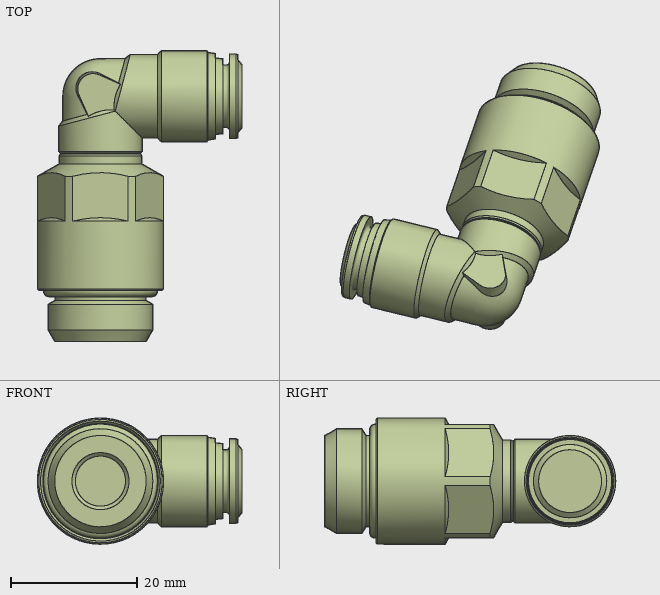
import cadquery as cq
import math


core_radius = 6.0
collar_radius = 6.65
leg_length = 8.7
collar_tilt = 15.0
collar_top = -2.3
collar_chamfer = collar_radius - core_radius

pad_rise = 0.05
pad_height = core_radius + pad_rise
pad_radius = 2.45
pad_offset = 1.15
pad_side_angle = 24.0
pad_side_length = 3.9
pad_tip = 2.3
pad_draft = 10.0

socket_radius = 7.25
socket_chamfer = 0.6
socket_start = 9.6
socket_end = 16.85
socket_lip_x = 17.05
socket_lip_radius = 6.95
cap_end = 18.2
cap_end_radius = 6.75
sleeve_end = 19.4
sleeve_radius = 6.1
sleeve_end_radius = 5.95
button_neck_radius = 4.95
button_fillet = 0.5
button_start = 20.4
button_radius = 6.7
button_bevel_x = 21.4
button_bevel_radius = 6.6
button_face_x = 21.75
button_boss_radius = 5.8
button_end = 22.4

joint_y = -9.15
spigot_radius = 6.35
spigot_top = -9.0

overall_length = 46.05
stud_end = socket_radius - overall_length
flange_radius = 10.0
neck_radius = 6.55
neck_chamfer_height = 0.28
neck_chamfer = 0.15
neck_bottom = -10.7
shoulder_y = -12.65
hex_apothem = 9.0
hex_bottom = -19.75
hex_clearance = 0.45
hex_turn = 30.0
hex_runout = 0.55
flange_bottom = -30.7
flange_chamfer_height = 0.25
flange_chamfer = 0.25
relief_radius = 7.25
relief_bottom = -32.27
thread_radius = 8.3
thread_top = -32.9
thread_bottom = -36.95
thread_tip_radius = 7.25
bore_radius = 3.95
bore_chamfer = 0.55

ring_section = 0.9
ring_squeeze = 0.05
ring_radius = relief_radius - ring_squeeze + ring_section
ring_y = -30.8
seat_depth = 0.6
seat_mouth_radius = 9.5
seat_floor_radius = 9.1


def leg():
    """One elbow leg pointing to -Y, with a collar whose rim is tilted toward the inner corner."""
    core = cq.Workplane("XZ").circle(core_radius).extrude(leg_length)
    slope = math.tan(math.radians(collar_tilt))
    rise = collar_radius * slope
    collar = cq.Workplane("XZ").circle(collar_radius).extrude(leg_length + collar_radius, both=True)
    keep = (
        cq.Workplane("XY")
        .polyline([
            (-collar_radius, -leg_length),
            (collar_radius, -leg_length),
            (collar_radius, collar_top + rise),
            (-collar_radius, collar_top - rise),
        ])
        .close()
        .extrude(collar_radius, both=True)
    )
    collar = collar.intersect(keep).faces(">Y").edges().chamfer(collar_chamfer)
    return core.union(collar)


def corner_pads():
    """Flat teardrop pads with drafted sides, one above and one below the corner."""
    angle = math.radians(pad_side_angle)
    side = cq.Vector(math.sin(angle), -math.cos(angle))
    center = cq.Vector(-pad_offset, pad_offset)
    tangent = center + cq.Vector(-math.cos(angle), -math.sin(angle)) * pad_radius
    tail = tangent + side * pad_side_length
    crown = center + cq.Vector(-1, 1).normalized() * pad_radius

    def across(point):
        """Mirror image of a point in the diagonal of the elbow."""
        return (-point.y, -point.x)

    upper = (
        cq.Workplane("XY", origin=(0, 0, pad_height))
        .moveTo(tail.x, tail.y)
        .lineTo(tangent.x, tangent.y)
        .threePointArc((crown.x, crown.y), across(tangent))
        .lineTo(*across(tail))
        .lineTo(pad_tip, -pad_tip)
        .close()
        .extrude(-pad_height, taper=-pad_draft)
    )
    return upper.union(upper.mirror("XY"))


def tube_branch():
    """Tube socket, cap and release button, turned about X."""
    neck_end = button_start - button_fillet
    fillet_mid = button_fillet * math.sqrt(0.5)
    return (
        cq.Workplane("XY")
        .moveTo(0, 0)
        .lineTo(0, core_radius)
        .lineTo(leg_length, core_radius)
        .lineTo(leg_length, collar_radius)
        .lineTo(socket_start - socket_chamfer, collar_radius)
        .lineTo(socket_start, socket_radius)
        .lineTo(socket_end, socket_radius)
        .lineTo(socket_lip_x, socket_lip_radius)
        .lineTo(cap_end, cap_end_radius)
        .lineTo(cap_end, sleeve_radius)
        .lineTo(sleeve_end, sleeve_end_radius)
        .lineTo(sleeve_end, button_neck_radius)
        .lineTo(neck_end, button_neck_radius)
        .threePointArc(
            (neck_end + fillet_mid, button_neck_radius + button_fillet - fillet_mid),
            (button_start, button_neck_radius + button_fillet),
        )
        .lineTo(button_start, button_radius)
        .lineTo(button_bevel_x, button_radius)
        .lineTo(button_face_x, button_bevel_radius)
        .lineTo(button_face_x, button_boss_radius)
        .lineTo(button_end, button_neck_radius)
        .lineTo(button_end, 0)
        .close()
        .revolve(360, (0, 0, 0), (1, 0, 0))
    )


def turned(points):
    """Solid of revolution about Y from (radius, y) points."""
    return cq.Workplane("XY").polyline(points).close().revolve(360, (0, 0, 0), (0, 1, 0))


def make_elbow():
    """Elbow body: both legs, corner ball and pads, tube branch and the spigot that meets the stud."""
    stud_leg = leg()
    branch_leg = stud_leg.mirror((1, 1, 0))
    spigot = turned([
        (0, -leg_length),
        (collar_radius, -leg_length),
        (spigot_radius, spigot_top),
        (spigot_radius, joint_y),
        (0, joint_y),
    ])
    ball = cq.Workplane("XY").sphere(core_radius)
    return (
        stud_leg.union(branch_leg)
        .union(ball)
        .union(corner_pads())
        .union(tube_branch())
        .union(spigot)
    )


def stud_blank():
    """Turned outline of the stud, with the through bore and the seat for the seal ring."""
    return turned([
        (bore_radius, joint_y),
        (neck_radius - neck_chamfer, joint_y),
        (neck_radius, joint_y - neck_chamfer_height),
        (neck_radius, neck_bottom),
        (flange_radius, shoulder_y),
        (flange_radius, flange_bottom + flange_chamfer_height),
        (flange_radius - flange_chamfer, flange_bottom),
        (seat_mouth_radius, flange_bottom),
        (seat_floor_radius, flange_bottom + seat_depth),
        (relief_radius, flange_bottom + seat_depth),
        (relief_radius, relief_bottom),
        (thread_radius, thread_top),
        (thread_radius, thread_bottom),
        (thread_tip_radius, stud_end),
        (bore_radius + bore_chamfer, stud_end),
        (bore_radius, stud_end + bore_chamfer),
    ])


def hex_cutter():
    """Material outside the wrench flats, closed at the bottom by a cone."""
    runout_slope = hex_runout / (flange_radius - hex_apothem)
    clear_radius = flange_radius + hex_clearance
    ring = turned([
        (0, neck_bottom),
        (clear_radius, neck_bottom),
        (clear_radius, hex_bottom - runout_slope * (clear_radius - flange_radius)),
        (hex_apothem, hex_bottom + hex_runout),
        (0, hex_bottom + hex_runout),
    ])
    hexagon = (
        cq.Workplane("XZ")
        .polygon(6, 2 * hex_apothem, circumscribed=True)
        .extrude(-hex_bottom)
        .rotate((0, 0, 0), (0, 1, 0), hex_turn)
    )
    return ring.cut(hexagon)


def seal_ring():
    """Round-section ring in the flange seat, part of the stud."""
    return (
        cq.Workplane("XY")
        .center(ring_radius, ring_y)
        .circle(ring_section)
        .revolve(360, (-ring_radius, 0, 0), (-ring_radius, 1, 0))
    )


def make_stud():
    """Stud body: turned blank with wrench flats and the seal ring against its flange."""
    return stud_blank().cut(hex_cutter()).union(seal_ring())


elbow = make_elbow()
stud = make_stud()
result = cq.Compound.makeCompound([elbow.solids().val(), stud.solids().val()])